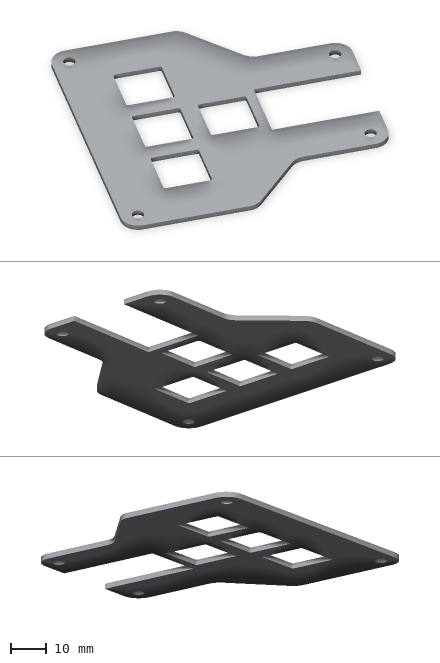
import cadquery as cq

thickness = 1.5
body_width = 80.2
arms_width = 46.2
total_length = 82.0
shoulder_start = 38.1
shoulder_end = 53.9
corner_radius = 5.0

slot_width = 18.5
slot_depth = 31.0

hole_diameter = 3.4

switch_size = 14.0
switch_pitch = 19.05
switch_row_y = 22.05
switch_corner_radius = 0.5
switch_centers = [
    (-switch_pitch, switch_row_y),
    (0, switch_row_y),
    (switch_pitch, switch_row_y),
    (0, switch_row_y + switch_pitch),
]


def make_plate():
    """Outline with every corner rounded, before any cutting."""
    half_body = body_width / 2
    half_arms = arms_width / 2
    right_side = [
        (half_body, 0),
        (half_body, shoulder_start),
        (half_arms, shoulder_end),
        (half_arms, total_length),
    ]
    left_side = [(-x, y) for x, y in reversed(right_side)]
    plate = cq.Workplane("XY").polyline(right_side + left_side).close().extrude(thickness)
    return plate.edges("|Z").fillet(corner_radius)


def make_slot():
    """Square-cornered slot running in from the back edge."""
    return (
        cq.Workplane("XY")
        .center(0, total_length - slot_depth / 2)
        .rect(slot_width, slot_depth)
        .extrude(thickness)
    )


def make_holes():
    """One through hole in each of the four outer corners."""
    body_x = body_width / 2 - corner_radius
    arms_x = arms_width / 2 - corner_radius
    front_y = corner_radius
    back_y = total_length - corner_radius
    centers = [(side * x, y) for side in (-1, 1) for x, y in ((body_x, front_y), (arms_x, back_y))]
    return cq.Workplane("XY").pushPoints(centers).circle(hole_diameter / 2).extrude(thickness)


def make_switch_cutouts():
    """Square through openings with slightly rounded corners."""
    return (
        cq.Workplane("XY")
        .pushPoints(switch_centers)
        .rect(switch_size, switch_size)
        .extrude(thickness)
        .edges("|Z")
        .fillet(switch_corner_radius)
    )


result = make_plate().cut(make_slot()).cut(make_holes()).cut(make_switch_cutouts())